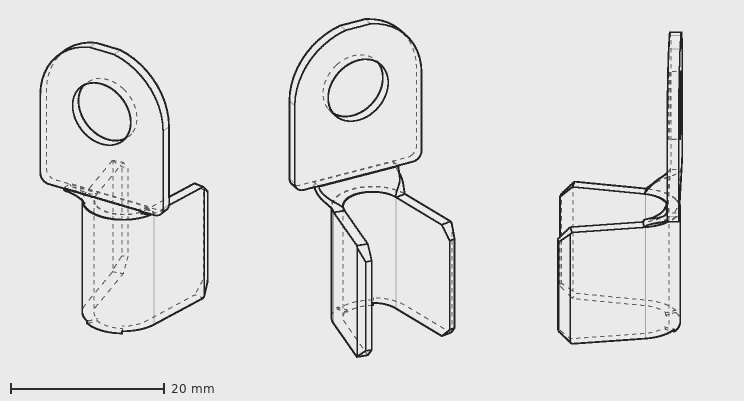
import cadquery as cq
import math

sheet = 1.5

total_height = 41.55
head_width = 18.8
head_arc_z = 32.3
head_bottom_z = 19.45
head_corner_radius = 1.33
hole_diameter = 8.9
hole_z = 32.15

barrel_bottom_z = 0.35
barrel_top_z = 16.85
barrel_radius = 5.35
barrel_mid_radius = barrel_radius - sheet / 2
barrel_inner_radius = barrel_radius - sheet
wing_flare = 10.0
barrel_curl = math.radians(90 - wing_flare)
overall_depth = 15.85

tip_bevel_length = 1.4
tip_face = 0.85
tip_corner = 1.65

tongue_half_angle = math.radians(30)

neck_top_half_length = 5.9
neck_bottom_half_length = barrel_mid_radius * barrel_curl
neck_flattest_curl = math.radians(0.5)
neck_sections = 6
neck_curl_delay = 1.15
neck_setback = 0.12

def point_on_arc(radius, angle, center_y):
    """Point at an angle from the front of an arc whose center lies on the Y axis."""
    return (radius * math.sin(angle), center_y - radius * math.cos(angle))


def curled_strip(mid_radius, curl, base_z):
    """Cross-section of the sheet bent to an arc with its front at Y = 0."""
    outer = mid_radius + sheet / 2
    inner = mid_radius - sheet / 2
    return (
        cq.Workplane("XY", origin=(0, 0, base_z))
        .moveTo(*point_on_arc(outer, -curl, outer))
        .threePointArc((0, 0), point_on_arc(outer, curl, outer))
        .lineTo(*point_on_arc(inner, curl, outer))
        .threePointArc((0, sheet), point_on_arc(inner, -curl, outer))
        .close()
    )


def make_head():
    radius = head_width / 2
    flat_half = math.sqrt(radius**2 - (total_height - head_arc_z) ** 2)
    arc_mid = radius * math.sqrt(0.5)
    head = (
        cq.Workplane("XZ")
        .moveTo(-radius, head_bottom_z)
        .lineTo(radius, head_bottom_z)
        .lineTo(radius, head_arc_z)
        .threePointArc((arc_mid, head_arc_z + arc_mid), (flat_half, total_height))
        .lineTo(-flat_half, total_height)
        .threePointArc((-arc_mid, head_arc_z + arc_mid), (-radius, head_arc_z))
        .close()
        .extrude(-sheet)
    )
    head = head.edges("|Y and (<X or >X)").edges("<Z").fillet(head_corner_radius)
    hole = cq.Workplane("XZ").center(0, hole_z).circle(hole_diameter / 2).extrude(-sheet)
    return head.cut(hole)


def make_neck():
    wires = []
    for index in range(neck_sections):
        drop = index / (neck_sections - 1)
        delayed_drop = drop**neck_curl_delay
        smooth_drop = delayed_drop**2 * (3 - 2 * delayed_drop)
        curl = neck_flattest_curl + smooth_drop * (barrel_curl - neck_flattest_curl)
        half_length = neck_top_half_length + drop**3 * (neck_bottom_half_length - neck_top_half_length)
        section_z = head_bottom_z + drop * (barrel_top_z - head_bottom_z)
        wires.append(curled_strip(half_length / curl, curl, section_z).wire().val())
    return cq.Workplane(cq.Solid.makeLoft(wires)).translate((0, neck_setback, 0))


def make_wing():
    height = barrel_top_z - barrel_bottom_z
    foot_x, foot_y = point_on_arc(barrel_inner_radius, barrel_curl, barrel_radius)
    length = (overall_depth - foot_y) / math.cos(math.radians(wing_flare))
    wing = (
        cq.Workplane("XY")
        .polyline(
            [(0, 0), (sheet, 0), (sheet, length - tip_bevel_length), (tip_face, length), (0, length)]
        )
        .close()
        .extrude(height)
    )
    side = (
        cq.Workplane("YZ")
        .polyline(
            [
                (0, 0),
                (length - tip_corner, 0),
                (length, tip_corner),
                (length, height - tip_corner),
                (length - tip_corner, height),
                (0, height),
            ]
        )
        .close()
        .extrude(sheet)
    )
    wing = wing.intersect(side)
    return wing.rotate((0, 0, 0), (0, 0, 1), -wing_flare).translate((foot_x, foot_y, barrel_bottom_z))


def make_barrel():
    height = barrel_top_z - barrel_bottom_z
    arc = curled_strip(barrel_mid_radius, barrel_curl, barrel_bottom_z).extrude(height)
    tongue = curled_strip(barrel_mid_radius, tongue_half_angle, 0).extrude(barrel_bottom_z)
    wing = make_wing()
    return arc.union(tongue).union(wing).union(wing.mirror("YZ"))


result = make_head().union(make_neck()).union(make_barrel())